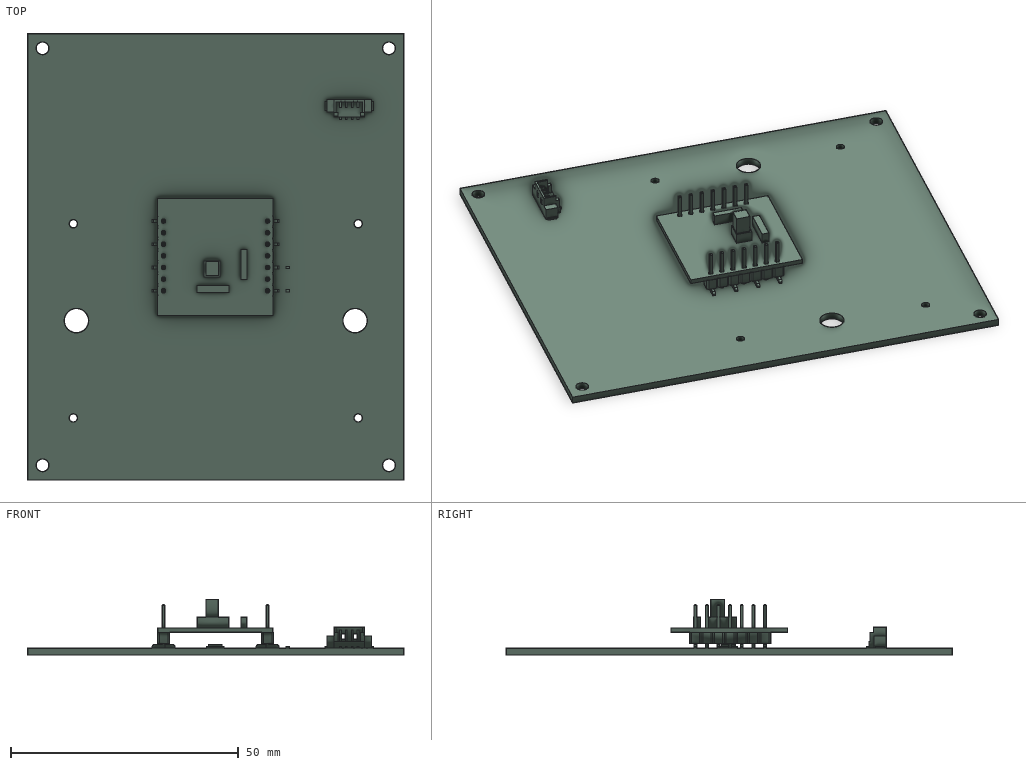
import cadquery as cq


def box_between(x_range, y_range, z_range):
    """Box spanning the given (low, high) ranges."""
    (x0, x1), (y0, y1), (z0, z1) = x_range, y_range, z_range
    return cq.Workplane("XY").box(x1 - x0, y1 - y0, z1 - z0, centered=False).translate((x0, y0, z0))


def block_on(x, y, z_bottom, length_x, length_y, height):
    """Box centred on (x, y) and standing on z_bottom."""
    return (
        cq.Workplane("XY")
        .box(length_x, length_y, height, centered=(True, True, False))
        .translate((x, y, z_bottom))
    )


def mirrored_spots(x, *rows):
    """Points at +x and -x on each of the given Y rows."""
    return [(side * x, y) for y in rows for side in (-1, 1)]


board_width = 82.6
board_length = 98.0
board_thickness = 1.6

corner_hole_diameter = 2.7
corner_hole_x = 38.0
corner_hole_y = 45.7
small_hole_diameter = 1.8
small_hole_x = 31.25
small_hole_rows = (7.25, -35.4)
large_hole_diameter = 5.3
large_hole_x = 30.6
large_hole_y = -14.0

pin_count = 7
pin_pitch = 2.5
pin_side = 0.64
pin_top = 11.1
pin_tip_chamfer = 0.2
header_spacing = 22.8
header_center_x = -0.05
header_center_y = 0.2
header_width = 2.6
header_bottom = 2.5
header_top = 5.0
header_chamfer = 0.4
foot_reach = 2.5
foot_top = 2.4
foot_tip_chamfer = 0.4
pin_rows = [header_center_y + ((pin_count - 1) / 2 - i) * pin_pitch for i in range(pin_count)]
header_columns = [header_center_x + side * header_spacing / 2 for side in (-1, 1)]

module_x = -0.1
module_width = 25.3
module_length = 25.7
module_thickness = 1.0
pin_hole_diameter = 1.0
module_top = header_top + module_thickness

part_height = 2.4
cube_x = -0.8
cube_y = -2.6
cube_base = 3.5
cube_post_x = 2.7
cube_post_y = 3.0
cube_post_shift = 0.1
overall_height = 12.2
side_bar = {"x": 6.2, "y": -1.7, "length_x": 1.3, "length_y": 6.6}
front_bar = {"x": -0.6, "y": -7.1, "length_x": 7.0, "length_y": 1.6}

chip_x = 15.8
chip_length = 0.8
chip_width = 0.5
chip_height = 0.4
chip_rows = (pin_rows[4], pin_rows[6])

package_x = -0.1
package_y = -0.2
package_base = 3.9
package_base_height = 0.4
package_top = 3.0
package_height = 0.8

connector_x = 29.3
connector_width = 6.7
connector_back = 34.5
connector_height = 4.6
side_wall = 0.4
back_wall = 0.5
tall_depth = 2.8
cheek_width = 0.9
cheek_depth = 3.6
cheek_height = 3.4
floor_depth = 3.8
floor_height = 1.5
window_offset = 1.4
window_width = 1.0
window_height = 1.2
window_bottom = 2.0
contact_count = 4
contact_pitch = 1.3
contact_width = 0.4
contact_depth = 1.3
contact_height = 3.9
lead_reach = 4.4
lead_height = 0.4
tab_width = 1.6
tab_depth = 2.7
tab_height = 2.6
tab_foot_width = 0.4
tab_foot_inset = 0.4
tab_foot_depth = 2.0
tab_foot_height = 0.4


def make_main_board():
    """Plain board with three sets of through holes."""
    board = block_on(0, 0, 0, board_width, board_length, board_thickness)
    hole_sets = (
        (corner_hole_diameter, mirrored_spots(corner_hole_x, corner_hole_y, -corner_hole_y)),
        (small_hole_diameter, mirrored_spots(small_hole_x, *small_hole_rows)),
        (large_hole_diameter, mirrored_spots(large_hole_x, large_hole_y)),
    )
    for diameter, spots in hole_sets:
        board = board.cut(
            cq.Workplane("XY").pushPoints(spots).circle(diameter / 2).extrude(board_thickness)
        )
    return board


def make_header_foot(x, y, side):
    """Flat foot running outward from the pin at (x, y), with a chamfered tip."""
    foot = box_between(
        (-pin_side / 2, foot_reach), (-pin_side / 2, pin_side / 2), (board_thickness, foot_top)
    )
    foot = foot.faces(">X").edges(">Z").chamfer(foot_tip_chamfer)
    if side < 0:
        foot = foot.mirror("YZ")
    return foot.translate((x, y, 0))


def make_header(x):
    """Notched plastic strip with square pins and feet that alternate left and right."""
    header = None
    for y in pin_rows:
        cell = block_on(x, y, header_bottom, header_width, pin_pitch, header_top - header_bottom)
        cell = cell.edges("|Z").chamfer(header_chamfer)
        header = cell if header is None else header.union(cell)
    for i, y in enumerate(pin_rows):
        pin = block_on(x, y, board_thickness, pin_side, pin_side, pin_top - board_thickness)
        pin = pin.faces(">Z").chamfer(pin_tip_chamfer)
        foot_side = -1 if (i % 2 == 0) == (x < 0) else 1
        header = header.union(pin).union(make_header_foot(x, y, foot_side))
    return header


def make_module():
    """Small board with pin holes, a stepped cube and two upright bars."""
    module = block_on(module_x, 0, header_top, module_width, module_length, module_thickness)
    holes = (
        cq.Workplane("XY", origin=(0, 0, header_top))
        .pushPoints([(x, y) for x in header_columns for y in pin_rows])
        .circle(pin_hole_diameter / 2)
        .extrude(module_thickness)
    )
    module = module.cut(holes)
    module = module.union(block_on(cube_x, cube_y, module_top, cube_base, cube_base, part_height))
    post_height = overall_height - module_top
    module = module.union(
        block_on(cube_x, cube_y + cube_post_shift, module_top, cube_post_x, cube_post_y, post_height)
    )
    for bar in (side_bar, front_bar):
        module = module.union(block_on(**bar, z_bottom=module_top, height=part_height))
    return module


def make_chip(y):
    """Tiny rectangular chip beside the right header."""
    return block_on(chip_x, y, board_thickness, chip_length, chip_width, chip_height)


def make_package():
    """Low stepped package under the module."""
    base = block_on(
        package_x, package_y, board_thickness, package_base, package_base, package_base_height
    )
    return base.union(
        block_on(package_x, package_y, board_thickness, package_top, package_top, package_height)
    )


def make_connector():
    """Connector open at its top and front, modelled about X = 0 with its back on Y = 0."""
    half = connector_width / 2
    connector = box_between((-half, half), (-floor_depth, 0), (0, floor_height))
    back = box_between((-half, half), (-back_wall, 0), (0, connector_height))
    connector = connector.union(back)

    for side in (-1, 1):
        wall_x = side * (half - side_wall / 2)
        wall = block_on(wall_x, -tall_depth / 2, 0, side_wall, tall_depth, connector_height)
        cheek = block_on(
            side * (half - cheek_width / 2),
            -(tall_depth + cheek_depth) / 2,
            0,
            cheek_width,
            cheek_depth - tall_depth,
            cheek_height,
        )
        tab = block_on(
            side * (half + tab_width / 2), -tab_depth / 2, 0, tab_width, tab_depth, tab_height
        )
        tab_foot = block_on(
            side * (half + tab_width + tab_foot_width / 2),
            -tab_foot_inset - tab_foot_depth / 2,
            0,
            tab_foot_width,
            tab_foot_depth,
            tab_foot_height,
        )
        connector = connector.union(wall).union(cheek).union(tab).union(tab_foot)
        window = block_on(
            side * window_offset, -back_wall / 2, window_bottom, window_width, back_wall, window_height
        )
        connector = connector.cut(window)

    for i in range(contact_count):
        x = (i - (contact_count - 1) / 2) * contact_pitch
        post_y = -back_wall - contact_depth / 2
        post = block_on(x, post_y, 0, contact_width, contact_depth, contact_height)
        lead = block_on(x, -lead_reach / 2, 0, contact_width, lead_reach, lead_height)
        connector = connector.union(post).union(lead)

    return connector.translate((connector_x, connector_back, board_thickness))


main_board = make_main_board()
headers = [make_header(x) for x in header_columns]
module = make_module()
chips = [make_chip(y) for y in chip_rows]
package = make_package()
connector = make_connector()

result = cq.Compound.makeCompound(
    [
        main_board.val(),
        *[header.val() for header in headers],
        module.val(),
        *[chip.val() for chip in chips],
        package.val(),
        connector.val(),
    ]
)